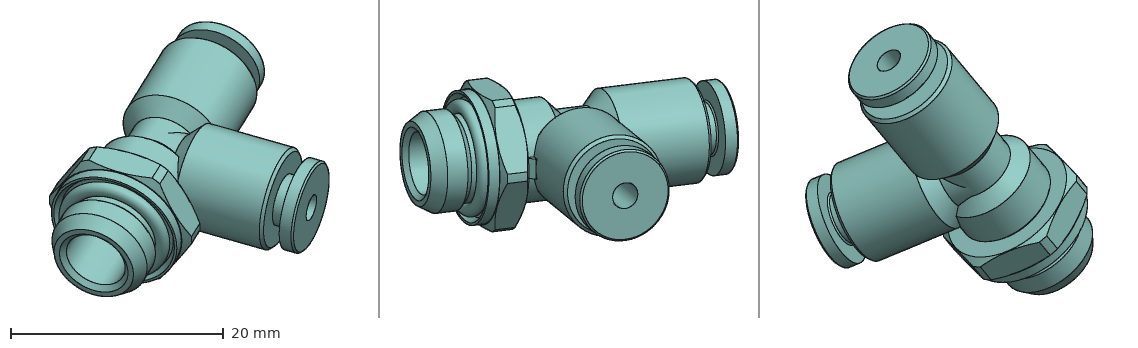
import cadquery as cq
import math


PORT_END = 15.88
COLLAR_RADIUS = 4.5
COLLAR_THICKNESS = 1.4
COLLAR_CHAMFER = 0.2
SLEEVE_RADIUS = 2.53
SLEEVE_CHAMFER = 0.15
PORT_RADIUS = 5.0
PORT_FACE = 12.98
PORT_CHAMFER = 0.3
WAIST_RADIUS = 3.52
WAIST_END = 2.53

BARREL_RADIUS = 4.88
BARREL_SHOULDER = -0.65
BARREL_CHAMFER = 0.3

GUSSET_THICKNESS = 1.98
GUSSET_REACH = 10.57

HEX_SIDES = 6
HEX_FLATS = 13.0
HEX_CORNER_RADIUS = 7.25
HEX_TOP = -6.05
HEX_BOTTOM = -9.0
HEX_CHAMFER_RADIUS = 6.45
HEX_CHAMFER_ANGLE = 30

FLANGE_RADIUS = 6.4
FLANGE_BOTTOM = -10.07
RECESS_RADIUS = 6.15
RECESS_WALL_ANGLE = 30
RING_SECTION_RADIUS = 0.68
RING_CENTRE_Y = -10.0

NECK_RADIUS = 4.23
NECK_BOTTOM = -10.97
THREAD_RADIUS = 4.85
TIP_CONE_START = -13.63
STUD_END = -15.02
TIP_RADIUS = 4.05

STUD_BORE_RADIUS = 3.0
STUD_BORE_CHAMFER = 0.5
STUD_BORE_END = -6.18
STUD_BORE_CONE_ANGLE = 68
PASSAGE_RADIUS = 1.27

RING_RADIUS = NECK_RADIUS + RING_SECTION_RADIUS
RECESS_FLOOR = RING_CENTRE_Y + RING_SECTION_RADIUS
RECESS_DEPTH = RECESS_FLOOR - FLANGE_BOTTOM
RECESS_FLOOR_RADIUS = RECESS_RADIUS - RECESS_DEPTH * math.tan(math.radians(RECESS_WALL_ANGLE))


def turned(points):
    """Revolve a closed (radius, Y) outline about the Y axis."""
    return cq.Workplane("XY").polyline(points).close().revolve(360, (0, 0, 0), (0, 1, 0))


def port():
    """Waist, shoulder, port and release collar along +Y."""
    collar_base = PORT_END - COLLAR_THICKNESS
    return turned([
        (0, 0),
        (WAIST_RADIUS, 0),
        (WAIST_RADIUS, WAIST_END),
        (PORT_RADIUS, WAIST_END + PORT_RADIUS - WAIST_RADIUS),
        (PORT_RADIUS, PORT_FACE - PORT_CHAMFER),
        (PORT_RADIUS - PORT_CHAMFER, PORT_FACE),
        (SLEEVE_RADIUS, PORT_FACE),
        (SLEEVE_RADIUS, collar_base - SLEEVE_CHAMFER),
        (SLEEVE_RADIUS + SLEEVE_CHAMFER, collar_base),
        (COLLAR_RADIUS, collar_base),
        (COLLAR_RADIUS, PORT_END - COLLAR_CHAMFER),
        (COLLAR_RADIUS - COLLAR_CHAMFER, PORT_END),
        (0, PORT_END),
    ])


def stud():
    """Waist, barrel, flange and threaded stud along -Y."""
    return turned([
        (0, 0),
        (WAIST_RADIUS, 0),
        (WAIST_RADIUS, BARREL_SHOULDER),
        (BARREL_RADIUS, BARREL_SHOULDER - (BARREL_RADIUS - WAIST_RADIUS)),
        (BARREL_RADIUS, HEX_TOP + BARREL_CHAMFER),
        (BARREL_RADIUS - BARREL_CHAMFER, HEX_TOP),
        (BARREL_RADIUS - BARREL_CHAMFER, HEX_BOTTOM),
        (FLANGE_RADIUS, HEX_BOTTOM),
        (FLANGE_RADIUS, FLANGE_BOTTOM),
        (RECESS_RADIUS, FLANGE_BOTTOM),
        (RECESS_FLOOR_RADIUS, RECESS_FLOOR),
        (NECK_RADIUS, RECESS_FLOOR),
        (NECK_RADIUS, NECK_BOTTOM),
        (THREAD_RADIUS, NECK_BOTTOM - (THREAD_RADIUS - NECK_RADIUS)),
        (THREAD_RADIUS, TIP_CONE_START),
        (TIP_RADIUS, STUD_END),
        (0, STUD_END),
    ])


def gusset():
    """Web that fills the corner between the barrel and the branch port."""
    return (
        cq.Workplane("XY")
        .polyline([
            (0, 0),
            (GUSSET_REACH - PORT_RADIUS, 0),
            (GUSSET_REACH - PORT_RADIUS, -PORT_RADIUS),
            (BARREL_RADIUS, BARREL_RADIUS - GUSSET_REACH),
            (0, BARREL_RADIUS - GUSSET_REACH),
        ])
        .close()
        .extrude(GUSSET_THICKNESS / 2, both=True)
    )


def hexagon():
    """Spanner hexagon with turned corners and chamfered top and bottom."""
    prism = (
        cq.Workplane("XZ", origin=(0, HEX_TOP, 0))
        .polygon(HEX_SIDES, HEX_FLATS / math.cos(math.pi / HEX_SIDES))
        .extrude(HEX_TOP - HEX_BOTTOM)
    )
    chamfer_width = HEX_CORNER_RADIUS - HEX_CHAMFER_RADIUS
    chamfer_depth = chamfer_width * math.tan(math.radians(HEX_CHAMFER_ANGLE))
    envelope = turned([
        (0, HEX_TOP),
        (HEX_CHAMFER_RADIUS, HEX_TOP),
        (HEX_CORNER_RADIUS, HEX_TOP - chamfer_depth),
        (HEX_CORNER_RADIUS, HEX_BOTTOM + chamfer_depth),
        (HEX_CHAMFER_RADIUS, HEX_BOTTOM),
        (0, HEX_BOTTOM),
    ])
    return prism.intersect(envelope)


def run_bore():
    """Stepped bore from the stud end through to the end of the run port."""
    cone_length = (STUD_BORE_RADIUS - PASSAGE_RADIUS) / math.tan(math.radians(STUD_BORE_CONE_ANGLE))
    return turned([
        (0, STUD_END),
        (STUD_BORE_RADIUS + STUD_BORE_CHAMFER, STUD_END),
        (STUD_BORE_RADIUS, STUD_END + STUD_BORE_CHAMFER),
        (STUD_BORE_RADIUS, STUD_BORE_END),
        (PASSAGE_RADIUS, STUD_BORE_END + cone_length),
        (PASSAGE_RADIUS, PORT_END),
        (0, PORT_END),
    ])


def branch_bore():
    """Passage from the run bore out through the branch port."""
    return cq.Workplane("YZ").circle(PASSAGE_RADIUS).extrude(PORT_END)


def fitting():
    """Tee body with its two ports, hexagon and stud."""
    run_port = port()
    branch_port = port().rotate((0, 0, 0), (0, 0, 1), -90)
    solid = run_port.union(branch_port).union(stud()).union(gusset()).union(hexagon())
    return solid.cut(run_bore()).cut(branch_bore())


def seal_ring():
    """O-ring that sits on the neck, in the recess of the flange."""
    return (
        cq.Workplane("XY")
        .center(RING_RADIUS, RING_CENTRE_Y)
        .circle(RING_SECTION_RADIUS)
        .revolve(360, (-RING_RADIUS, 0, 0), (-RING_RADIUS, 1, 0))
    )


tee_body = fitting()
o_ring = seal_ring()
result = cq.Compound.makeCompound([tee_body.solids().val(), o_ring.solids().val()])